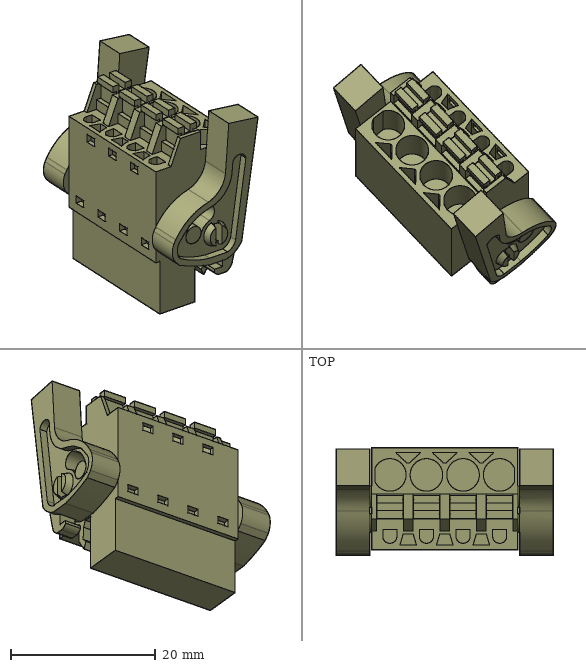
import cadquery as cq
import math


total_width = 30.15
housing_width = 20.3
pole_count = 4
pitch = housing_width / pole_count
lever_gap = 0.25
pole_xs = [(i - (pole_count - 1) / 2) * pitch for i in range(pole_count)]
between_xs = [x + pitch / 2 for x in pole_xs[:-1]]

depth = 14.17
underside_z = 8.3
front_ledge_z = 22.6
back_ledge_z = 23.7
ridge_z = 26.52
ridge_back_y = 7.75
ridge_front_y = 4.25
ridge_foot_y = 2.62
plug_front_y = 0.7
plug_back_y = 6.72

latch_back_y = 9.43
latch_barb_z = 5.45

slot_width = 3.77
slot_floor_z = 24.15
button_width = 3.6
button_top_z = 27.73
button_channel_z = 26.65
button_head_z = 26.75
button_front_y = 4.37
button_back_y = 7.57
button_head_depth = 1.1
button_head_overhang = 0.6

screw_hole_y = 10.4
screw_hole_radius = 2.25
screw_hole_depth = 6.03
side_wall = 0.45
wedge_back_y = 13.47
wedge_tip_y = 12.03
wedge_back_width = 3.4
wedge_tip_width = 0.3
wedge_depth = 6.03

wire_hole_width = 1.95
wire_hole_back_y = 2.83
wire_hole_front_y = 0.9
wire_hole_depth = 6.03
key_back_y = 2.23
key_front_y = 0.7
key_back_width = 1.35
key_front_width = 2.3
key_depth = 6.03

window_width = 1.72
upper_window_bottom_z = 20.37
upper_window_height = 1.2
upper_window_depth = 0.7
lower_window_bottom_z = 9.67
lower_window_height = 1.12
lower_window_depth = 0.9

lever_thickness = (total_width - housing_width) / 2 - lever_gap
lever_outer_x = -total_width / 2
pocket_depth = 1.15
hook_width = 2.53
lever_heel = (11.2, 10.3)
hook_tip_z = 5.58
hook_catch_z = 6.63
hook_inner_y = 8.62
hook_root_z = 9.05
pocket_bottom_z = 9.35

pivot_y = 7.38
pivot_z = 12.25
pivot_radius = 1.5
pivot_head_radius = 1.9
pivot_head_height = 1.0
pivot_slot_width = 1.05
pivot_slot_depth = 1.8
stop_radius = 1.3
stop_swing_radius = 3.77
stop_angle = 13.5
lever_swing = 55.0
stop_slot_radius = 1.33
pocket_floor_x = lever_outer_x + pocket_depth


def vertical_cut(sketch, top_z, cut_depth):
    """Extrude an outline drawn in X and Y downwards from a given height."""
    return sketch(cq.Workplane("XY").workplane(offset=top_z - cut_depth)).extrude(cut_depth)


def side_profile(x_start):
    """Plane facing +X, with local coordinates Y and Z."""
    return cq.Workplane("YZ").workplane(offset=x_start)


def swing_point(radius, angle):
    """Y and Z of a point around the pivot; the angle rises from the forward (-Y) direction."""
    turn = math.radians(angle)
    return (pivot_y - radius * math.cos(turn), pivot_z + radius * math.sin(turn))


def mirrored(body):
    """Copy on the opposite (X) side."""
    return body.mirror("YZ")


def make_block():
    """Stepped upper body with a sloped ridge, on top of the narrower plug."""
    upper = (
        side_profile(-housing_width / 2)
        .polyline([
            (0, underside_z),
            (0, front_ledge_z),
            (ridge_foot_y, front_ledge_z),
            (ridge_front_y, ridge_z),
            (ridge_back_y, ridge_z),
            (ridge_back_y, back_ledge_z),
            (depth, back_ledge_z),
            (depth, underside_z),
        ])
        .close()
        .extrude(housing_width)
    )
    plug = cq.Workplane("XY").box(
        housing_width, plug_back_y - plug_front_y, underside_z, centered=(True, False, False)
    ).translate((0, plug_front_y, 0))
    return upper.union(plug)


def make_latch_strip():
    """Barbed strip hanging from the underside behind the plug."""
    return (
        side_profile(-housing_width / 2)
        .polyline([
            (7.95, underside_z),
            (8.35, 7.35),
            (8.47, latch_barb_z),
            (7.78, 4.82),
            (8.25, 3.8),
            (latch_back_y, latch_barb_z),
            (latch_back_y, underside_z),
        ])
        .close()
        .extrude(housing_width)
    )


def make_button_slot(x):
    """Slot through the ridge with a step in front of the button."""
    seat = cq.Workplane("XY").box(
        slot_width, ridge_back_y - ridge_front_y, ridge_z - slot_floor_z, centered=(True, False, False)
    ).translate((x, ridge_front_y, slot_floor_z))
    front = cq.Workplane("XY").box(
        slot_width, ridge_front_y, ridge_z - front_ledge_z, centered=(True, False, False)
    ).translate((x, 0, front_ledge_z))
    return seat.union(front)


def make_screw_hole(x):
    """Round hole, flattened where it would thin the housing side wall."""
    hole = vertical_cut(
        lambda plane: plane.center(x, screw_hole_y).circle(screw_hole_radius),
        back_ledge_z, screw_hole_depth,
    )
    inside_walls = vertical_cut(
        lambda plane: plane.center(0, screw_hole_y)
        .rect(housing_width - 2 * side_wall, 4 * screw_hole_radius),
        back_ledge_z, screw_hole_depth,
    )
    return hole.intersect(inside_walls)


def make_tapered_hole(x, front, back, top_z, hole_depth):
    """Hole with a trapezoid outline; front and back are (y, width) pairs."""
    front_y, front_width = front
    back_y, back_width = back
    return vertical_cut(
        lambda plane: plane.polyline([
            (x - front_width / 2, front_y),
            (x + front_width / 2, front_y),
            (x + back_width / 2, back_y),
            (x - back_width / 2, back_y),
        ]).close(),
        top_z, hole_depth,
    )


def make_wire_hole(x):
    """Straight at the back and half round at the front."""
    radius = wire_hole_width / 2
    round_y = wire_hole_front_y + radius
    return vertical_cut(
        lambda plane: plane.moveTo(x - radius, wire_hole_back_y)
        .lineTo(x - radius, round_y)
        .threePointArc((x, wire_hole_front_y), (x + radius, round_y))
        .lineTo(x + radius, wire_hole_back_y)
        .close(),
        front_ledge_z, wire_hole_depth,
    )


def make_window(x, bottom_z, height, window_depth):
    """Rectangular recess in the front face."""
    return cq.Workplane("XY").box(
        window_width, window_depth, height, centered=(True, False, False)
    ).translate((x, 0, bottom_z))


def make_lever_pins():
    """Slotted pivot pin and plain stop pin on the -X side of the housing."""
    pin_length = -housing_width / 2 - pocket_floor_x
    pivot = side_profile(pocket_floor_x).center(pivot_y, pivot_z).circle(pivot_radius).extrude(pin_length)
    head = (
        side_profile(pocket_floor_x)
        .center(pivot_y, pivot_z)
        .circle(pivot_head_radius)
        .workplane(offset=-pivot_head_height)
        .circle(pivot_radius)
        .loft()
    )
    slot = (
        side_profile(pocket_floor_x - pivot_head_height)
        .center(pivot_y, pivot_z)
        .rect(pivot_slot_width, 2 * pivot_head_radius)
        .extrude(pivot_slot_depth)
    )
    stop = (
        side_profile(pocket_floor_x)
        .center(*swing_point(stop_swing_radius, stop_angle))
        .circle(stop_radius)
        .extrude(pin_length)
    )
    return pivot.union(head).cut(slot).union(stop)


def make_housing():
    housing = make_block().union(make_latch_strip())
    for x in pole_xs:
        housing = housing.cut(make_button_slot(x))
        housing = housing.cut(make_screw_hole(x))
        housing = housing.cut(make_wire_hole(x))
        housing = housing.cut(
            make_window(x, lower_window_bottom_z, lower_window_height, lower_window_depth)
        )
    for x in between_xs:
        housing = housing.cut(make_tapered_hole(
            x, (wedge_tip_y, wedge_tip_width), (wedge_back_y, wedge_back_width), back_ledge_z, wedge_depth
        ))
        housing = housing.cut(make_tapered_hole(
            x, (key_front_y, key_front_width), (key_back_y, key_back_width), front_ledge_z, key_depth
        ))
        housing = housing.cut(
            make_window(x, upper_window_bottom_z, upper_window_height, upper_window_depth)
        )
    pins = make_lever_pins()
    return housing.union(pins).union(mirrored(pins))


def make_button(x):
    """Push button with two heads that overhang its neck, parted by a shallow channel."""
    neck_front_y = button_front_y + button_head_overhang
    neck_back_y = button_back_y - button_head_overhang
    return (
        side_profile(x - button_width / 2)
        .moveTo(neck_front_y, slot_floor_z)
        .lineTo(neck_front_y, button_head_z)
        .lineTo(button_front_y, button_head_z)
        .lineTo(button_front_y, button_top_z)
        .lineTo(button_front_y + button_head_depth, button_top_z)
        .lineTo(button_front_y + button_head_depth, button_channel_z)
        .lineTo(button_back_y - button_head_depth, button_channel_z)
        .lineTo(button_back_y - button_head_depth, button_top_z)
        .lineTo(button_back_y, button_top_z)
        .lineTo(button_back_y, button_head_z)
        .lineTo(neck_back_y, button_head_z)
        .lineTo(neck_back_y, slot_floor_z)
        .close()
        .extrude(button_width)
    )


def make_lever_plate():
    """Handle that widens downwards into a rounded cam."""
    return (
        side_profile(lever_outer_x)
        .moveTo(14.02, 28.9)
        .lineTo(8.95, 29.5)
        .lineTo(8.38, 21.75)
        .threePointArc((7.05, 19.17), (5.43, 18.23))
        .threePointArc((2.55, 16.97), (-0.18, 14.1))
        .lineTo(-0.5, 13.5)
        .threePointArc((-0.78, 12.27), (-0.33, 10.7))
        .lineTo(0.45, 9.9)
        .threePointArc((2.55, 9.07), (5.7, underside_z))
        .lineTo(8.55, underside_z)
        .threePointArc((10.22, 9.13), lever_heel)
        .close()
        .extrude(lever_thickness)
    )


def make_lever_pocket():
    """Shallow recess in the outer face that follows the lever outline."""
    return (
        side_profile(lever_outer_x)
        .moveTo(11.9, 23.15)
        .threePointArc((10.75, 24.05), (9.65, 23.15))
        .lineTo(9.52, 21.65)
        .threePointArc((8.35, 18.85), (5.7, 17.25))
        .threePointArc((2.77, 15.95), (0.78, 13.85))
        .threePointArc((0.1, 12.27), (0.7, 10.85))
        .threePointArc((3.35, 9.77), (5.7, pocket_bottom_z))
        .lineTo(8.75, pocket_bottom_z)
        .threePointArc((9.75, 10.0), (10.13, 10.8))
        .close()
        .extrude(pocket_depth)
    )


def make_lever_hook():
    """Rounded ejector hook below the lever plate, centred in its thickness."""
    return (
        side_profile(lever_outer_x + (lever_thickness - hook_width) / 2)
        .moveTo(*lever_heel)
        .lineTo(10.37, 6.85)
        .threePointArc((9.95, 6.03), (9.25, hook_tip_z))
        .lineTo(8.17, hook_tip_z)
        .threePointArc((7.6, 5.75), (7.23, 6.18))
        .lineTo(7.3, hook_catch_z)
        .lineTo(hook_inner_y, hook_catch_z)
        .lineTo(hook_inner_y, hook_root_z)
        .close()
        .extrude(hook_width)
    )


def make_stop_slot():
    """Curved slot around the pivot in which the stop pin travels."""
    start = stop_angle
    end = stop_angle + lever_swing
    middle = (start + end) / 2
    inner = stop_swing_radius - stop_slot_radius
    outer = stop_swing_radius + stop_slot_radius
    slot = (
        side_profile(lever_outer_x)
        .moveTo(*swing_point(inner, start))
        .threePointArc(swing_point(inner, middle), swing_point(inner, end))
        .lineTo(*swing_point(outer, end))
        .threePointArc(swing_point(outer, middle), swing_point(outer, start))
        .close()
        .extrude(lever_thickness)
    )
    for angle in (start, end):
        round_end = (
            side_profile(lever_outer_x)
            .center(*swing_point(stop_swing_radius, angle))
            .circle(stop_slot_radius)
            .extrude(lever_thickness)
        )
        slot = slot.union(round_end)
    return slot


def make_lever():
    """Release lever on the -X side."""
    pivot_hole = (
        side_profile(lever_outer_x)
        .center(pivot_y, pivot_z)
        .circle(pivot_radius)
        .extrude(lever_thickness)
    )
    return (
        make_lever_plate()
        .union(make_lever_hook())
        .cut(make_lever_pocket())
        .cut(pivot_hole)
        .cut(make_stop_slot())
    )


housing = make_housing()
buttons = [make_button(x) for x in pole_xs]
left_lever = make_lever()
right_lever = mirrored(left_lever)

result = cq.Compound.makeCompound([
    housing.val(),
    *[button.val() for button in buttons],
    left_lever.val(),
    right_lever.val(),
])